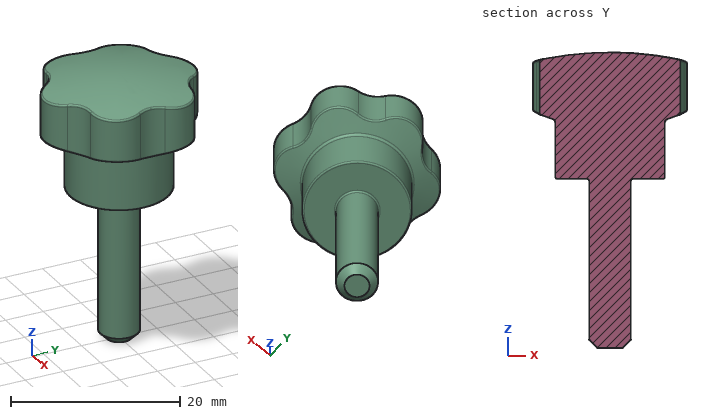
import cadquery as cq
import math

total_height = 35.0
hub_bottom = 20.0
hub_top = 26.95

stud_radius = 5.0 / 2
stud_chamfer = 1.0
hub_radius = 13.0 / 2
dome_radius = 40.0
cone_angle = 20.0

lobe_count = 6
first_lobe_angle = 90
head_radius = 20.0 / 2
lobe_radius = 3.5
valley_radius = 3.5

head_edge_fillet = 0.25
neck_fillet = 0.4
hub_edge_fillet = 0.2
stud_root_fillet = 0.2

clearance = 0.35
select_margin = 0.05


def polar(radius, angle):
    """Point at a distance from the axis and an angle in degrees."""
    return (radius * math.cos(math.radians(angle)), radius * math.sin(math.radians(angle)))


def lobed_outline():
    """Closed outline of convex lobes joined by tangent concave valleys."""
    pitch = 360 / lobe_count
    half_pitch = math.radians(pitch / 2)
    lobe_center = head_radius - lobe_radius
    along = lobe_center * math.cos(half_pitch)
    across = lobe_center * math.sin(half_pitch)
    center_distance = lobe_radius + valley_radius
    valley_center = along + math.sqrt(center_distance**2 - across**2)

    share = lobe_radius / center_distance
    tangent_x = along + share * (valley_center - along)
    tangent_y = across * (1 - share)
    tangent_radius = math.hypot(tangent_x, tangent_y)
    tangent_angle = math.degrees(math.atan2(tangent_y, tangent_x))

    first_valley = first_lobe_angle - pitch / 2
    outline = cq.Workplane("XY").moveTo(*polar(tangent_radius, first_valley + tangent_angle))
    for index in range(lobe_count):
        lobe_angle = first_lobe_angle + index * pitch
        valley_angle = lobe_angle + pitch / 2
        outline = outline.threePointArc(
            polar(head_radius, lobe_angle),
            polar(tangent_radius, valley_angle - tangent_angle),
        )
        outline = outline.threePointArc(
            polar(valley_center - valley_radius, valley_angle),
            polar(tangent_radius, valley_angle + tangent_angle),
        )
    return outline.close()


def make_head():
    """Lobed prism trimmed by a domed top and a conical underside."""
    blank_radius = head_radius + clearance

    def dome_height(radius):
        return total_height - dome_radius + math.sqrt(dome_radius**2 - radius**2)

    cone_rise = (blank_radius - hub_radius) * math.tan(math.radians(cone_angle))
    blank = (
        cq.Workplane("XZ")
        .moveTo(0, hub_top)
        .lineTo(hub_radius, hub_top)
        .lineTo(blank_radius, hub_top + cone_rise)
        .lineTo(blank_radius, dome_height(blank_radius))
        .threePointArc((blank_radius / 2, dome_height(blank_radius / 2)), (0, total_height))
        .close()
        .revolve(360, (0, 0), (0, 1))
    )
    prism = lobed_outline().extrude(total_height + clearance)
    head = prism.intersect(blank)
    rim_zone = cq.selectors.BoxSelector(
        (-blank_radius, -blank_radius, hub_top + select_margin),
        (blank_radius, blank_radius, total_height - select_margin),
    )
    rims = head.edges("not |Z").edges(rim_zone)
    return rims.fillet(head_edge_fillet)


def make_hub_and_stud():
    """Round hub with the chamfered stud below it."""
    hub = cq.Workplane("XY").workplane(offset=hub_bottom).circle(hub_radius).extrude(hub_top - hub_bottom)
    hub = hub.faces("<Z").edges().fillet(hub_edge_fillet)
    stud = cq.Workplane("XY").circle(stud_radius).extrude(hub_bottom)
    stud = stud.faces("<Z").chamfer(stud_chamfer)
    return hub.union(stud)


def fillet_circle(body, radius, height, size):
    """Round the circular edge at the given radius and height."""
    reach = radius + select_margin
    edge_zone = cq.selectors.BoxSelector(
        (-reach, -reach, height - select_margin),
        (reach, reach, height + select_margin),
        boundingbox=True,
    )
    return body.edges(edge_zone).edges("%CIRCLE").fillet(size)


knob = make_head().union(make_hub_and_stud())
knob = fillet_circle(knob, hub_radius, hub_top, neck_fillet)
result = fillet_circle(knob, stud_radius, hub_bottom, stud_root_fillet)